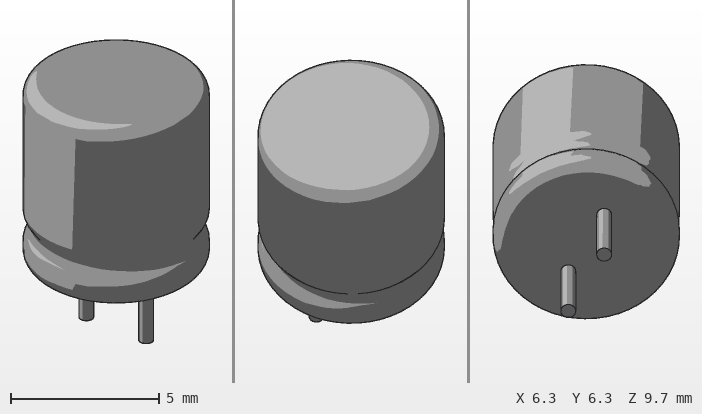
import cadquery as cq
import math

body_diameter = 6.3
total_height = 9.7
lead_length = 2.7
lead_diameter = 0.5
lead_pitch = 2.5

rim_radius = 0.5
groove_height = 1.44
groove_depth = 0.25
groove_half_width = 0.66

body_radius = body_diameter / 2
body_height = total_height - lead_length
flat_radius = body_radius - rim_radius
rim_mid_inset = rim_radius * (1 - math.sqrt(0.5))

neck_radius = body_radius - groove_depth
slope_radius = body_radius - groove_depth / 2
slope_offset = groove_half_width / 2
groove_bottom = groove_height - groove_half_width
groove_top = groove_height + groove_half_width
arc_radius = (slope_offset**2 + (groove_depth / 2) ** 2) / groove_depth
half_angle = math.asin(slope_offset / arc_radius) / 2
shoulder_mid_radius = body_radius - arc_radius * (1 - math.cos(half_angle))
shoulder_mid_rise = arc_radius * math.sin(half_angle)


def make_body():
    """Revolve the can, with its base at Z = 0 and its crimp groove near the base."""
    profile = (
        cq.Workplane("XZ")
        .lineTo(flat_radius, 0)
        .threePointArc((body_radius - rim_mid_inset, rim_mid_inset), (body_radius, rim_radius))
        .lineTo(body_radius, groove_bottom)
        .threePointArc(
            (shoulder_mid_radius, groove_bottom + shoulder_mid_rise),
            (slope_radius, groove_height - slope_offset),
        )
        .threePointArc((neck_radius, groove_height), (slope_radius, groove_height + slope_offset))
        .threePointArc(
            (shoulder_mid_radius, groove_top - shoulder_mid_rise),
            (body_radius, groove_top),
        )
        .lineTo(body_radius, body_height - rim_radius)
        .threePointArc(
            (body_radius - rim_mid_inset, body_height - rim_mid_inset),
            (flat_radius, body_height),
        )
        .lineTo(0, body_height)
        .close()
    )
    return profile.revolve(360, (0, 0, 0), (0, 1, 0))


def make_lead(x):
    """One round lead hanging below the base."""
    return cq.Workplane("XY").center(x, 0).circle(lead_diameter / 2).extrude(-lead_length)


result = make_body()
for side in (-1, 1):
    result = result.union(make_lead(side * lead_pitch / 2))